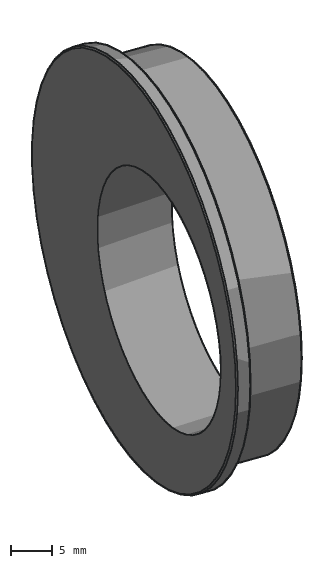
import cadquery as cq

flange_diameter = 56.0
body_diameter = 51.4
bore_diameter = 33.6
bore_offset = 6.9
total_depth = 10.0
flange_thickness = 2.0
edge_chamfer = 0.2

flange_front = -total_depth / 2


def disc(diameter, depth, front):
    """Disc along Y, reaching from the front plane toward +Y."""
    return (
        cq.Workplane("XZ", origin=(0, front, 0))
        .circle(diameter / 2)
        .extrude(-depth)
    )


flange = disc(flange_diameter, flange_thickness, flange_front).edges().chamfer(edge_chamfer)

body = disc(body_diameter, total_depth, flange_front).faces(">Y").edges().chamfer(edge_chamfer)

bore = disc(bore_diameter, total_depth, flange_front).translate((bore_offset, 0, 0))

result = flange.union(body).cut(bore)